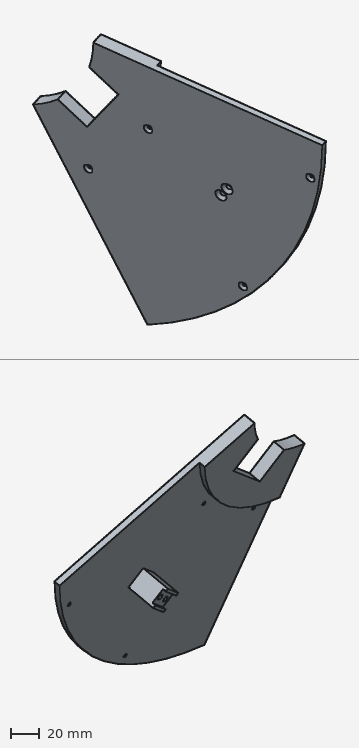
import cadquery as cq
import math

plate_height = 251.2
sector_angle = 60
outer_radius = plate_height / math.sin(math.radians(sector_angle))
inner_radius = 100.0
middle_angle = -sector_angle / 2
plate_thickness = 5.0

band_radius = 150.0
band_thickness = 10.0

notch_floor_radius = 124.5
notch_width = 52.0

boss_radius = 226.5
boss_angle = -23
boss_length = 20.5
boss_width = 17.0
boss_top = 29.1
channel_width = 12.0
channel_depth = 2.8

boss_hole_size = (4.3, 9.3)
boss_hole_spacing = 10.0
plate_hole_size = (3.0, 7.0)
plate_hole_places = [(282.5, -7.5), (157.5, -22.5), (282.5, -37.5), (157.5, -52.5)]
countersink_angle = 90


def polar(radius, angle):
    """X and Z of a point at a radius and angle about the fan centre."""
    return (radius * math.cos(math.radians(angle)), radius * math.sin(math.radians(angle)))


def back_plane(y):
    """Sketch plane with local axes X, Z, -Y; extrude by a negative length to go toward +Y."""
    return cq.Workplane("XZ", origin=(0, y, 0))


def sector(radius, thickness):
    return (
        back_plane(0)
        .moveTo(*polar(inner_radius, 0))
        .lineTo(*polar(radius, 0))
        .threePointArc(polar(radius, middle_angle), polar(radius, -sector_angle))
        .lineTo(*polar(inner_radius, -sector_angle))
        .threePointArc(polar(inner_radius, middle_angle), polar(inner_radius, 0))
        .close()
        .extrude(-thickness)
    )


def turned_block(centre, radial_size, tangential_size, bottom, top):
    """Block whose sides follow the middle direction of the sector."""
    return (
        back_plane(bottom)
        .center(*centre)
        .transformed(rotate=(0, 0, middle_angle))
        .rect(radial_size, tangential_size)
        .extrude(bottom - top)
    )


def countersunk_hole(centre, size):
    bore_diameter, sink_diameter = size
    sink_depth = (sink_diameter - bore_diameter) / 2 / math.tan(math.radians(countersink_angle / 2))
    bore = back_plane(0).center(*centre).circle(bore_diameter / 2).extrude(-boss_top)
    sink = cq.Solid.makeCone(
        sink_diameter / 2,
        bore_diameter / 2,
        sink_depth,
        pnt=cq.Vector(centre[0], 0, centre[1]),
        dir=cq.Vector(0, 1, 0),
    )
    return bore.union(cq.Workplane(sink))


plate = sector(outer_radius, plate_thickness).union(sector(band_radius, band_thickness))
notch_centre = polar(notch_floor_radius / 2, middle_angle)
plate = plate.cut(turned_block(notch_centre, notch_floor_radius, notch_width, 0, band_thickness))

boss_centre = polar(boss_radius, boss_angle)
boss = turned_block(boss_centre, boss_width, boss_length, 0, boss_top)
channel = turned_block(boss_centre, channel_width, boss_length, boss_top - channel_depth, boss_top)
result = plate.union(boss.cut(channel))

for side in (-1, 1):
    offset = polar(side * boss_hole_spacing / 2, middle_angle + 90)
    hole_centre = (boss_centre[0] + offset[0], boss_centre[1] + offset[1])
    result = result.cut(countersunk_hole(hole_centre, boss_hole_size))

for radius, angle in plate_hole_places:
    result = result.cut(countersunk_hole(polar(radius, angle), plate_hole_size))